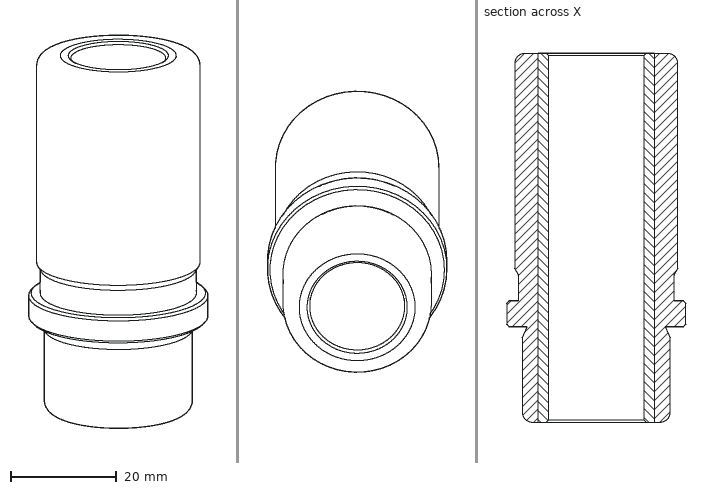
import cadquery as cq

total_length = 70.0
collar_bottom = 18.1
collar_thickness = 5.0
collar_top = collar_bottom + collar_thickness
relief_height = 2.0
neck_top = 28.0
neck_taper_height = 1.2

collar_diameter = 34.0
barrel_diameter = 31.0
neck_diameter = 29.6
spigot_diameter = 28.15
liner_diameter = 22.0

bore_diameter = 18.0

end_fillet = 2.0
collar_chamfer = 0.5
bore_chamfer = 0.5

relief_depth = 0.9


def make_housing():
    """Turned housing: spigot, relief, collar, neck and barrel, bored for the liner."""
    collar_radius = collar_diameter / 2
    barrel_radius = barrel_diameter / 2
    neck_radius = neck_diameter / 2
    spigot_radius = spigot_diameter / 2
    liner_radius = liner_diameter / 2
    relief_bottom = collar_bottom - relief_height
    relief_radius = spigot_radius - relief_depth

    profile = (
        cq.Workplane("XZ")
        .moveTo(liner_radius, 0)
        .lineTo(spigot_radius - end_fillet, 0)
        .radiusArc((spigot_radius, end_fillet), -end_fillet)
        .lineTo(spigot_radius, relief_bottom)
        .lineTo(relief_radius, collar_bottom)
        .lineTo(collar_radius - collar_chamfer, collar_bottom)
        .lineTo(collar_radius, collar_bottom + collar_chamfer)
        .lineTo(collar_radius, collar_top - collar_chamfer)
        .lineTo(collar_radius - collar_chamfer, collar_top)
        .lineTo(neck_radius, collar_top)
        .lineTo(neck_radius, neck_top)
        .lineTo(barrel_radius, neck_top + neck_taper_height)
        .lineTo(barrel_radius, total_length - end_fillet)
        .radiusArc((barrel_radius - end_fillet, total_length), -end_fillet)
        .lineTo(liner_radius, total_length)
        .close()
    )
    return profile.revolve(360, (0, 0, 0), (0, 1, 0))


def make_liner():
    """Plain tube filling the housing, with both bore mouths chamfered."""
    tube = cq.Workplane("XY").circle(liner_diameter / 2).circle(bore_diameter / 2).extrude(total_length)
    bore_edges = cq.selectors.RadiusNthSelector(0)
    return tube.edges("%CIRCLE").edges(bore_edges).chamfer(bore_chamfer)


housing = make_housing()
liner = make_liner()

result = cq.Compound.makeCompound([housing.val(), liner.val()])